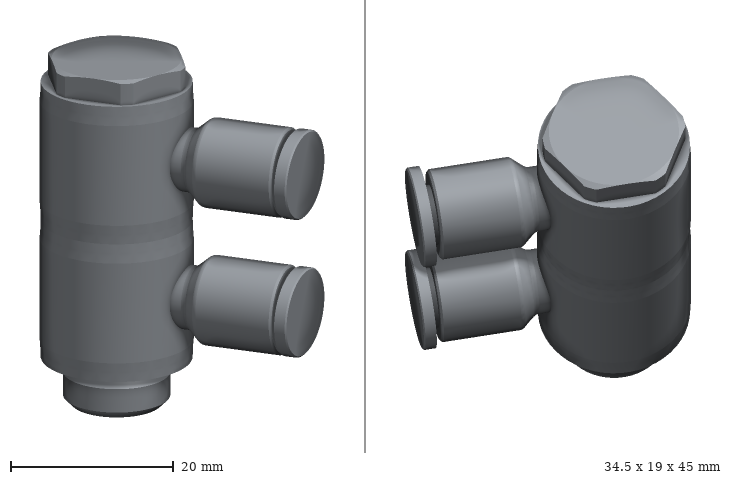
import cadquery as cq
import math

TOTAL_HEIGHT = 45.0
HEX_HEIGHT = 3.0
SHELL_HEIGHT = 18.0
SHELL_COUNT = 2
STEM_LENGTH = TOTAL_HEIGHT - HEX_HEIGHT - SHELL_COUNT * SHELL_HEIGHT

SHELL_RADIUS = 9.5
SHELL_END_RADIUS = 9.35
SHELL_TAPER = 2.48

HEX_ACROSS_FLATS = 16.0
HEX_CORNER_RADIUS = 8.8
HEX_CHAMFER_ANGLE = math.radians(17)

THREAD_RADIUS = 6.6
THREAD_CHAMFER = 1.0
STEM_NECK_RADIUS = THREAD_RADIUS - THREAD_CHAMFER
THREAD_TOP = 5.05
STEM_FILLET = 0.5

CONNECTOR_NECK_RADIUS = 4.0
CONNECTOR_RADIUS = 5.62
CONE_START = 10.45
CONE_END = 12.35
CONE_START_FILLET = 1.0
CONE_END_FILLET = 0.8
EDGE_PICK_MARGIN = 0.05
SLEEVE_END = 22.6
SLEEVE_CHAMFER = 0.25
RELEASE_STEM_RADIUS = 3.75

COLLAR_START = 23.4
COLLAR_END = 24.98
COLLAR_HALF_WIDTH = 6.52
COLLAR_HALF_HEIGHT = 5.5
COLLAR_CHAMFER = 0.2


def make_shell(base):
    """One banjo shell: a cylinder with a slight taper at either end."""
    top = base + SHELL_HEIGHT
    return (
        cq.Workplane("XZ")
        .moveTo(0, base)
        .lineTo(SHELL_END_RADIUS, base)
        .lineTo(SHELL_RADIUS, base + SHELL_TAPER)
        .lineTo(SHELL_RADIUS, top - SHELL_TAPER)
        .lineTo(SHELL_END_RADIUS, top)
        .lineTo(0, top)
        .close()
        .revolve(360, (0, 0), (0, 1))
    )


def make_stem():
    """Threaded stem with chamfered ends and a filleted undercut below the body."""
    fillet_start = STEM_LENGTH - STEM_FILLET
    fillet_mid_offset = STEM_FILLET * math.sqrt(0.5)
    fillet_centre_radius = STEM_NECK_RADIUS + STEM_FILLET
    return (
        cq.Workplane("XZ")
        .lineTo(STEM_NECK_RADIUS, 0)
        .lineTo(THREAD_RADIUS, THREAD_CHAMFER)
        .lineTo(THREAD_RADIUS, THREAD_TOP - THREAD_CHAMFER)
        .lineTo(STEM_NECK_RADIUS, THREAD_TOP)
        .lineTo(STEM_NECK_RADIUS, fillet_start)
        .threePointArc(
            (fillet_centre_radius - fillet_mid_offset, fillet_start + fillet_mid_offset),
            (fillet_centre_radius, STEM_LENGTH),
        )
        .lineTo(0, STEM_LENGTH)
        .close()
        .revolve(360, (0, 0), (0, 1))
    )


def make_hex_head():
    """Hexagon with corners toward +X and -X, trimmed to a turned, chamfered blank."""
    base = TOTAL_HEIGHT - HEX_HEIGHT
    flat_radius = HEX_ACROSS_FLATS / 2
    chamfer_drop = (HEX_CORNER_RADIUS - flat_radius) * math.tan(HEX_CHAMFER_ANGLE)
    hexagon = (
        cq.Workplane("XY", origin=(0, 0, base))
        .polygon(6, HEX_ACROSS_FLATS / math.cos(math.pi / 6))
        .extrude(HEX_HEIGHT)
    )
    blank = (
        cq.Workplane("XZ")
        .moveTo(0, base)
        .lineTo(HEX_CORNER_RADIUS, base)
        .lineTo(HEX_CORNER_RADIUS, TOTAL_HEIGHT - chamfer_drop)
        .lineTo(flat_radius, TOTAL_HEIGHT)
        .lineTo(0, TOTAL_HEIGHT)
        .close()
        .revolve(360, (0, 0), (0, 1))
    )
    return hexagon.intersect(blank)


def make_connector(axis_height):
    """Push-in connector pointing along +X, starting on the body axis."""
    sleeve = (
        cq.Workplane("XZ")
        .lineTo(0, CONNECTOR_NECK_RADIUS)
        .lineTo(CONE_START, CONNECTOR_NECK_RADIUS)
        .lineTo(CONE_END, CONNECTOR_RADIUS)
        .lineTo(SLEEVE_END, CONNECTOR_RADIUS)
        .lineTo(SLEEVE_END, 0)
        .close()
        .revolve(360, (0, 0), (1, 0))
        .faces(">X").edges().chamfer(SLEEVE_CHAMFER)
    )
    for place, radius in ((CONE_START, CONE_START_FILLET), (CONE_END, CONE_END_FILLET)):
        sleeve = sleeve.edges(cq.selectors.BoxSelector(
            (place - EDGE_PICK_MARGIN, -CONNECTOR_RADIUS, -CONNECTOR_RADIUS),
            (place + EDGE_PICK_MARGIN, CONNECTOR_RADIUS, CONNECTOR_RADIUS),
        )).fillet(radius)
    release_stem = (
        cq.Workplane("YZ")
        .circle(RELEASE_STEM_RADIUS)
        .extrude(COLLAR_START)
    )
    collar = (
        cq.Workplane("YZ", origin=(COLLAR_START, 0, 0))
        .ellipse(COLLAR_HALF_WIDTH, COLLAR_HALF_HEIGHT)
        .extrude(COLLAR_END - COLLAR_START)
        .faces(">X").edges().chamfer(COLLAR_CHAMFER)
    )
    return sleeve.union(release_stem).union(collar).translate((0, 0, axis_height))


result = make_stem().union(make_hex_head())
for index in range(SHELL_COUNT):
    shell_base = STEM_LENGTH + index * SHELL_HEIGHT
    result = result.union(make_shell(shell_base))
    result = result.union(make_connector(shell_base + SHELL_HEIGHT / 2))